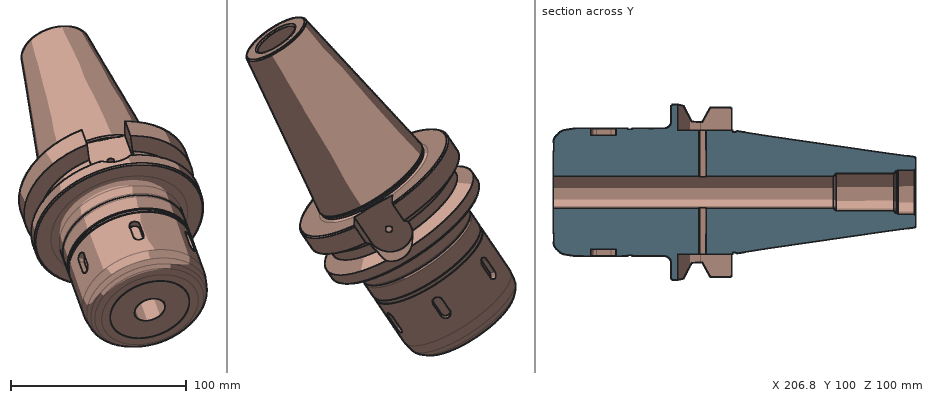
import cadquery as cq
import math

total_length = 206.8
gauge_x = 101.7
neck_x = 103.0
flange_x = 104.8
v_floor_start_x = 121.8
v_floor_end_x = 127.8
flange_end_x = 139.5
mark_groove_x = 151.0
body_end_x = 162.1
nut_x = 164.2
nut_taper_x = 194.4

gauge_diameter = 70.0
neck_diameter = 68.9
flange_root_diameter = 73.0
flange_diameter = 100.0
v_floor_diameter = 84.2
body_diameter = 73.0
groove_diameter = 72.0
mark_groove_diameter = 72.5
nose_face_diameter = 57.0
collet_diameter = 46.7

v_flank_angle = math.radians(30)

taper_end_chamfer = 0.72
flange_chamfer = 0.8
neck_root_chamfer = 0.6
mark_groove_half_width = 1.2
body_fillet = 4.0

nose_taper_angle = math.radians(9)
nose_cone_angle = math.radians(45)
nose_taper_length = 5.8
nose_cone_length = 1.9
nose_rounding = 5.5
nose_edge_rounding = 5.2

thread_chamfer_diameter = 26.9
pilot_diameter = 25.0
pilot_depth = 10.1
lead_diameter = 24.0
lead_length = 0.6
thread_diameter = 21.0
thread_depth = 45.5
through_diameter = 18.0

keyway_width = 25.6
keyway_floor = 35.4
keyway_end_x = 135.7
coolant_hole_diameter = 4.0
coolant_hole_x = 121.5

slot_count = 6
slot_length = 14.3
slot_width = 6.0
slot_depth = 4.0
slot_x = 178.0


def make_body():
    """Revolve the outer profile of the holder about X."""
    taper_slope = 7 / 24 / 2
    gauge_radius = gauge_diameter / 2
    small_radius = gauge_radius - taper_slope * gauge_x
    flange_radius = flange_diameter / 2
    v_floor_radius = v_floor_diameter / 2
    v_flank = (flange_radius - v_floor_radius) * math.tan(v_flank_angle)
    body_radius = body_diameter / 2
    groove_radius = groove_diameter / 2
    groove_depth = body_radius - groove_radius

    taper_end_x = nut_taper_x + nose_taper_length
    taper_end_radius = body_radius - nose_taper_length * math.tan(nose_taper_angle)
    cone_x = taper_end_x + nose_rounding * (math.sin(nose_cone_angle) - math.sin(nose_taper_angle))
    cone_radius = taper_end_radius - nose_rounding * (math.cos(nose_taper_angle) - math.cos(nose_cone_angle))
    edge_x = cone_x + nose_cone_length
    edge_radius = cone_radius - nose_cone_length * math.tan(nose_cone_angle)
    face_x = edge_x + nose_edge_rounding * (1 - math.sin(nose_cone_angle))
    face_radius = nose_face_diameter / 2

    profile = (
        cq.Workplane("XY")
        .lineTo(0, small_radius - taper_end_chamfer)
        .lineTo(taper_end_chamfer, small_radius + taper_slope * taper_end_chamfer)
        .lineTo(gauge_x, gauge_radius)
        .lineTo(neck_x, neck_diameter / 2)
        .lineTo(flange_x - neck_root_chamfer, neck_diameter / 2)
        .lineTo(flange_x, flange_root_diameter / 2)
        .lineTo(flange_x, flange_radius - flange_chamfer)
        .lineTo(flange_x + flange_chamfer, flange_radius)
        .lineTo(v_floor_start_x - v_flank, flange_radius)
        .lineTo(v_floor_start_x, v_floor_radius)
        .lineTo(v_floor_end_x, v_floor_radius)
        .lineTo(v_floor_end_x + v_flank, flange_radius)
        .lineTo(flange_end_x - flange_chamfer, flange_radius)
        .lineTo(flange_end_x, flange_radius - flange_chamfer)
        .lineTo(flange_end_x, body_radius + body_fillet)
        .radiusArc((flange_end_x + body_fillet, body_radius), -body_fillet)
        .lineTo(mark_groove_x - mark_groove_half_width, body_radius)
        .lineTo(mark_groove_x, mark_groove_diameter / 2)
        .lineTo(mark_groove_x + mark_groove_half_width, body_radius)
        .lineTo(body_end_x - groove_depth, body_radius)
        .lineTo(body_end_x, groove_radius)
        .lineTo(nut_x, groove_radius)
        .lineTo(nut_x, body_radius)
        .lineTo(nut_taper_x, body_radius)
        .lineTo(taper_end_x, taper_end_radius)
        .tangentArcPoint((cone_x, cone_radius), relative=False)
        .lineTo(edge_x, edge_radius)
        .tangentArcPoint((face_x, face_radius), relative=False)
        .lineTo(face_x, collet_diameter / 2)
        .lineTo(total_length, collet_diameter / 2)
        .lineTo(total_length, 0)
        .close()
    )
    return profile.revolve(360, (0, 0, 0), (1, 0, 0))


def make_bore():
    """Stepped bore along the axis, open at both ends."""
    pilot_radius = pilot_diameter / 2
    mouth_radius = thread_chamfer_diameter / 2
    lead_radius = lead_diameter / 2
    thread_radius = thread_diameter / 2
    through_radius = through_diameter / 2
    lead_x = pilot_depth + pilot_radius - lead_radius
    lead_end_x = lead_x + lead_length
    profile = (
        cq.Workplane("XY")
        .lineTo(0, mouth_radius)
        .lineTo(mouth_radius - pilot_radius, pilot_radius)
        .lineTo(pilot_depth, pilot_radius)
        .lineTo(lead_x, lead_radius)
        .lineTo(lead_end_x, lead_radius)
        .lineTo(lead_end_x + lead_radius - thread_radius, thread_radius)
        .lineTo(thread_depth, thread_radius)
        .lineTo(thread_depth + thread_radius - through_radius, through_radius)
        .lineTo(total_length, through_radius)
        .lineTo(total_length, 0)
        .close()
    )
    return profile.revolve(360, (0, 0, 0), (1, 0, 0))


def make_keyway():
    """Round-ended keyway cutter on the +Z side, open towards the taper."""
    height = flange_diameter / 2 - keyway_floor
    end_center_x = keyway_end_x - keyway_width / 2
    start_x = gauge_x
    straight_length = end_center_x - start_x
    straight = (
        cq.Workplane("XY", origin=(start_x + straight_length / 2, 0, keyway_floor))
        .rect(straight_length, keyway_width)
        .extrude(height)
    )
    round_end = (
        cq.Workplane("XY", origin=(end_center_x, 0, keyway_floor))
        .circle(keyway_width / 2)
        .extrude(height)
    )
    return straight.union(round_end)


def make_spanner_slot():
    """Spanner slot cutter on the +Z side of the nut."""
    floor = body_diameter / 2 - slot_depth
    return (
        cq.Workplane("XY", origin=(slot_x, 0, floor))
        .slot2D(slot_length, slot_width)
        .extrude(2 * slot_depth)
    )


def around_axis(shape, angle):
    return shape.rotate((0, 0, 0), (1, 0, 0), angle)


result = make_body().cut(make_bore())

for side in range(2):
    result = result.cut(around_axis(make_keyway(), 180 * side))

coolant_hole = (
    cq.Workplane("XY", origin=(coolant_hole_x, 0, 0))
    .circle(coolant_hole_diameter / 2)
    .extrude(flange_diameter / 2, both=True)
)
result = result.cut(coolant_hole)

for index in range(slot_count):
    result = result.cut(around_axis(make_spanner_slot(), 360 / slot_count * index))